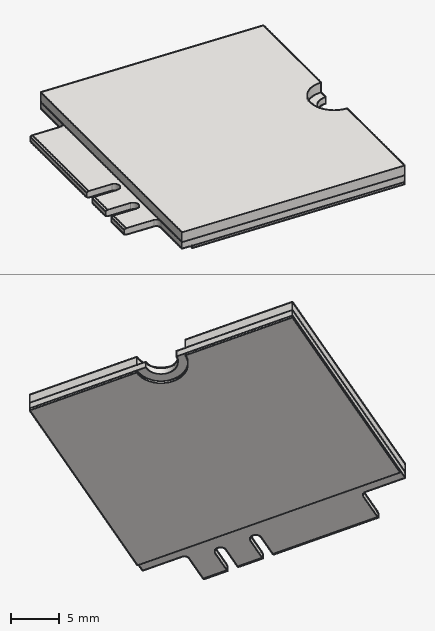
import cadquery as cq

card_size = 30.0
rear_y = card_size / 2
tab_end_y = -card_size / 2

board_thickness = 0.8
tab_length = 4.0
tab_width = 19.92
shoulder_fillet = 0.5
shoulder_y = tab_end_y + tab_length
bevel_length = 0.25
bevel_height = 0.12

key_slot_width = 1.2
key_slot_depth = 3.5
key_slot_positions = [2.6, 6.63]

screw_notch_radius = 1.75
clearance_notch_radius = 2.75

top_cover_thickness = 1.2
bottom_cover_thickness = 0.3
bottom_cover_setback = 1.2


def plate(width, front_y, back_y, bottom_z, thickness):
    """Rectangular plate centred on X."""
    return (
        cq.Workplane("XY", origin=(0, (front_y + back_y) / 2, bottom_z))
        .rect(width, back_y - front_y)
        .extrude(thickness)
    )


def rear_notch(radius, bottom_z, height):
    """Round cutter centred on the rear edge."""
    return cq.Workplane("XY", origin=(0, rear_y, bottom_z)).circle(radius).extrude(height)


def make_cover(front_y, bottom_z, thickness):
    """Full-width cover plate, notched to clear the screw head."""
    cover = plate(card_size, front_y, rear_y, bottom_z, thickness)
    return cover.cut(rear_notch(clearance_notch_radius, bottom_z, thickness))


def key_slot(x):
    """Slot cutter with a round inner end, open at the tab's front edge."""
    half_width = key_slot_width / 2
    arc_start_y = tab_end_y + key_slot_depth - half_width
    return (
        cq.Workplane("XY")
        .moveTo(x - half_width, tab_end_y)
        .lineTo(x - half_width, arc_start_y)
        .threePointArc((x, tab_end_y + key_slot_depth), (x + half_width, arc_start_y))
        .lineTo(x + half_width, tab_end_y)
        .close()
        .extrude(board_thickness)
    )


def make_tab():
    """Connector tab, bevelled along both edges of its front end."""
    bevel_y = tab_end_y + bevel_length
    return (
        cq.Workplane("YZ", origin=(-tab_width / 2, 0, 0))
        .polyline([
            (shoulder_y, 0),
            (bevel_y, 0),
            (tab_end_y, bevel_height),
            (tab_end_y, board_thickness - bevel_height),
            (bevel_y, board_thickness),
            (shoulder_y, board_thickness),
        ])
        .close()
        .extrude(tab_width)
    )


def make_board():
    """Circuit board with connector tab, shoulder fillets, key slots and screw notch."""
    board = plate(card_size, shoulder_y, rear_y, 0, board_thickness).union(make_tab())
    for side in (-1, 1):
        corner = (side * tab_width / 2, shoulder_y, board_thickness / 2)
        corner_edge = cq.selectors.NearestToPointSelector(corner)
        board = board.edges(corner_edge).fillet(shoulder_fillet)
    for x in key_slot_positions:
        board = board.cut(key_slot(x))
    return board.cut(rear_notch(screw_notch_radius, 0, board_thickness))


board = make_board()
top_cover = make_cover(shoulder_y, board_thickness, top_cover_thickness)
bottom_cover = make_cover(
    shoulder_y + bottom_cover_setback, -bottom_cover_thickness, bottom_cover_thickness
)

bodies = [part.solids().val() for part in (board, top_cover, bottom_cover)]
result = cq.Compound.makeCompound(bodies)